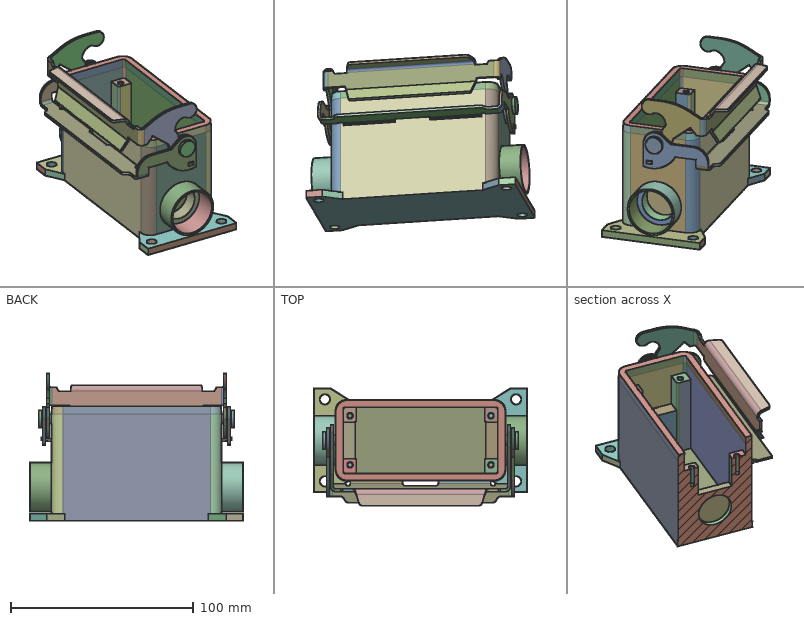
import cadquery as cq
import math

BASE_LENGTH = 117.0
BASE_WIDTH = 57.0
BASE_HEIGHT = 4.0
OVERALL_WIDTH = 64.48
OVERALL_HEIGHT = 81.0
FOOT_TIP_X = 49.4
FOOT_ROOT_X = 39.3
MOUNT_X = 52.5
MOUNT_Y = 22.5
MOUNT_DIAMETER = 5.5

BODY_LENGTH = 93.5
BODY_WIDTH = 44.5
BODY_TOP = 63.0
BODY_CORNER = 6.2
RIM_INSET = 0.3
OUTER_RIM_HEIGHT = 4.1
INNER_RIM_HEIGHT = 5.0

CAVITY_LENGTH = 84.8
CAVITY_WIDTH = 36.2
CAVITY_CORNER = 1.5
FLOOR = BASE_HEIGHT

POST_LENGTH = 7.2
POST_WIDTH = 8.1
POST_TOP = 51.0
POST_CORNER = 1.2
SCREW_X = 38.7
SCREW_Y = 13.5
SCREW_DIAMETER = 2.7
SCREW_DEPTH = 12.0
SCREW_CHAMFER = 0.3
PORT_BLOCK_LENGTH = 6.6
PORT_BLOCK_TOP = 32.0

PORT_Z = 18.5
PORT_OUTER = 27.2
PORT_BORE = 25.1
PORT_BORE_DEPTH = 13.2
PORT_INNER_BORE = 19.3
PORT_WEB = 1.5

PIVOT_Z = 56.0
PIN_DIAMETER = 5.4
PIN_HEAD_DIAMETER = 9.6
PIN_HEAD_THICKNESS = 1.8
PIN_END = 53.7

SHEET = 1.5

LEVER_HALF = 49.4
LEVER_FRONT = -28.2
LEVER_BEND = 2.9
BAR_TOP = 73.0
BAR_BOTTOM = 63.5
BAR_STEP_TOP = 71.2
BAR_STEP_X = 42.6
BAR_RAISED_X = 43.7

HOOK_RADIUS = 4.3
HOOK_CENTRE_Y = 4.2
BACK_CURVE_MIDDLE = (-12.3, 79.85)
BACK_CURVE_END = (-18.5, 77.5)
BACK_CORNER = (-25.4, 73.8)
NOTCH_FRONT_Y = -23.4
NOTCH_PEAK = (-19.9, 67.6)
NOTCH_REAR = (-9.6, 59.4)
LOBE_FRONT = (-9.0, 57.3)
LOBE_FRONT_MIDDLE = (-6.6, 49.0)
LOBE_BOTTOM = (0.0, 45.9)
LOBE_REAR_MIDDLE = (4.5, 47.8)
LOBE_REAR_Y = 6.3
LOBE_REAR_Z = 52.2
LOBE_TOP_MIDDLE = (2.8, 61.65)
NECK_Y = -3.3
NECK_BOTTOM_Z = 61.4
NECK_TOP_Z = 64.2
MOUTH_CORNER = (-5.5, 67.4)
MOUTH_MIDDLE = (-3.6, 72.0)
MOUTH_TOP = (-0.2, 73.7)

HANDLE_EDGE = BASE_WIDTH / 2 - OVERALL_WIDTH
HANDLE_TOP = 74.6
HANDLE_BEND = 1.5
HANDLE_ROOT_X = 36.2
HANDLE_TIP_X = 33.4
HANDLE_CORNER = 2.0

FLAP_BEND_Z = 61.5
FLAP_ANGLE = math.radians(26.5)
FLAP_LENGTH = 7.6
FLAP_ROOT_X = 36.9
FLAP_TIP_X = 34.0
FLAP_CORNER = 1.2

BRACKET_HALF = 51.5
BRACKET_BOTTOM = 43.7
BRACKET_BEND = 3.0
ARM_BACK = 6.8
ARM_TOP = 57.15
ARM_UNDERSIDE = 50.0
ARM_INNER_Y = -23.75
ARM_OUTER_Y = -30.85
ARM_ROUND = 8.85
ARM_BACK_BOTTOM = 42.1
ARM_BELLY_MIDDLE = (-4.5, 43.0)
ARM_BELLY_FRONT_Y = -11.7
ARM_SHOULDER_Y = -9.2
PLATE_EDGE_Y = -34.3
PLATE_EDGE_X = 39.5
PLATE_SHOULDER_X = 44.2
PLATE_TOP = BRACKET_BOTTOM + SHEET
LIP_INNER_X = 9.8
LIP_OUTER_X = 38.6
LIP_BOTTOM = 42.8
SLOT_DEPTH = 1.1
SLOT_CHAMFER = 0.9
LIP_ROUND = 1.4
RELIEF_RADIUS = 1.2

TAB_Y = 3.2
TAB_Z = 45.1
TAB_WIDTH = 3.2
TAB_HEIGHT = 1.6
TAB_REACH = 0.9

SIDES = (-1, 1)
FULL_SPAN = 2 * BRACKET_HALF


def box_between(x0, x1, y0, y1, z0, z1):
    """Box given by its limits along the three axes."""
    return cq.Workplane("XY").box(x1 - x0, y1 - y0, z1 - z0, False).translate((x0, y0, z0))


def x_cylinder(diameter, x0, x1, z):
    """Cylinder along X on the Y = 0 plane."""
    return cq.Workplane("YZ", origin=(x0, 0, z)).circle(diameter / 2).extrude(x1 - x0)


def rounded_block(length, width, corner, z0, z1, taper=0):
    """Upright block with rounded corners and optional draft."""
    sketch = cq.Sketch().rect(length, width).vertices().fillet(corner)
    return cq.Workplane("XY", origin=(0, 0, z0)).placeSketch(sketch).extrude(z1 - z0, taper=taper)


def drafted_block(length, width, corner, z0, rim_height):
    """Straight block up to the rim band, leaning inward within the band."""
    draft = math.degrees(math.atan(RIM_INSET / rim_height))
    rim_start = BODY_TOP - rim_height
    lower = rounded_block(length, width, corner, z0, rim_start)
    return lower.union(rounded_block(length, width, corner, rim_start, BODY_TOP, draft))


def mounting_feet():
    half_length = BASE_LENGTH / 2
    half_width = BASE_WIDTH / 2
    feet = cq.Workplane("XY")
    for side in SIDES:
        outline = [
            (side * half_length, -half_width),
            (side * FOOT_TIP_X, -half_width),
            (side * FOOT_ROOT_X, -BODY_WIDTH / 2),
            (side * FOOT_ROOT_X, BODY_WIDTH / 2),
            (side * FOOT_TIP_X, half_width),
            (side * half_length, half_width),
        ]
        feet = feet.union(cq.Workplane("XY").polyline(outline).close().extrude(BASE_HEIGHT))
    holes = (
        cq.Workplane("XY")
        .rect(2 * MOUNT_X, 2 * MOUNT_Y, forConstruction=True)
        .vertices()
        .circle(MOUNT_DIAMETER / 2)
        .extrude(BASE_HEIGHT)
    )
    return feet.cut(holes)


def cavity():
    """Inside space, leaving the corner posts and the port blocks standing."""
    end = CAVITY_LENGTH / 2
    wall = CAVITY_WIDTH / 2
    length = CAVITY_LENGTH + 2 * RIM_INSET
    width = CAVITY_WIDTH + 2 * RIM_INSET
    space = drafted_block(length, width, CAVITY_CORNER, FLOOR, INNER_RIM_HEIGHT)
    for side_x in SIDES:
        block = box_between(
            end - PORT_BLOCK_LENGTH, BODY_LENGTH / 2, -wall, wall, FLOOR, PORT_BLOCK_TOP
        )
        if side_x < 0:
            block = block.mirror("YZ")
        space = space.cut(block)
        for side_y in SIDES:
            post_length = POST_LENGTH + BODY_LENGTH / 2 - end
            post_width = POST_WIDTH + BODY_WIDTH / 2 - wall
            centre_x = side_x * (BODY_LENGTH / 2 - post_length / 2)
            centre_y = side_y * (BODY_WIDTH / 2 - post_width / 2)
            post = rounded_block(post_length, post_width, POST_CORNER, FLOOR, POST_TOP)
            space = space.cut(post.translate((centre_x, centre_y, 0)))
    return space


def screw_holes():
    radius = SCREW_DIAMETER / 2
    profile = [
        (0, POST_TOP - SCREW_DEPTH),
        (radius, POST_TOP - SCREW_DEPTH),
        (radius, POST_TOP - SCREW_CHAMFER),
        (radius + SCREW_CHAMFER, POST_TOP),
        (0, POST_TOP),
    ]
    hole = cq.Workplane("XZ").polyline(profile).close().revolve(360, (0, 0), (0, 1))
    holes = cq.Workplane("XY")
    for side_x in SIDES:
        for side_y in SIDES:
            holes = holes.union(hole.translate((side_x * SCREW_X, side_y * SCREW_Y, 0)))
    return holes


def port_bore():
    """Stepped blind bore of the +X cable port."""
    mouth = BASE_LENGTH / 2
    shoulder = mouth - PORT_BORE_DEPTH
    bottom = CAVITY_LENGTH / 2 - PORT_BLOCK_LENGTH + PORT_WEB
    return x_cylinder(PORT_BORE, shoulder, mouth, PORT_Z).union(
        x_cylinder(PORT_INNER_BORE, bottom, shoulder, PORT_Z)
    )


def housing():
    body = drafted_block(BODY_LENGTH, BODY_WIDTH, BODY_CORNER, 0, OUTER_RIM_HEIGHT)
    body = body.union(mounting_feet()).cut(cavity()).cut(screw_holes())
    pipe = x_cylinder(PORT_OUTER, CAVITY_LENGTH / 2, BASE_LENGTH / 2, PORT_Z)
    bore = port_bore()
    for pipe_side, bore_side in ((pipe, bore), (pipe.mirror("YZ"), bore.mirror("YZ"))):
        body = body.union(pipe_side).cut(bore_side)
    return body


def pivot_pin():
    """Headed pin of the +X side."""
    shaft = x_cylinder(PIN_DIAMETER, BODY_LENGTH / 2 - SHEET, PIN_END, PIVOT_Z)
    return shaft.union(x_cylinder(PIN_HEAD_DIAMETER, PIN_END - PIN_HEAD_THICKNESS, PIN_END, PIVOT_Z))


def lever_profile():
    """Side outline of the lever arm and crossbar, extruded across the whole width."""
    hook_middle = OVERALL_HEIGHT - HOOK_RADIUS
    hook_bottom = hook_middle - HOOK_RADIUS
    return (
        cq.Workplane("YZ", origin=(-BRACKET_HALF, 0, 0))
        .moveTo(HOOK_CENTRE_Y, OVERALL_HEIGHT)
        .lineTo(-HOOK_CENTRE_Y, OVERALL_HEIGHT)
        .threePointArc(BACK_CURVE_MIDDLE, BACK_CURVE_END)
        .lineTo(*BACK_CORNER)
        .lineTo(LEVER_FRONT, BAR_TOP)
        .lineTo(LEVER_FRONT, BAR_BOTTOM)
        .lineTo(NOTCH_FRONT_Y, BAR_BOTTOM)
        .lineTo(*NOTCH_PEAK)
        .lineTo(*NOTCH_REAR)
        .lineTo(*LOBE_FRONT)
        .threePointArc(LOBE_FRONT_MIDDLE, LOBE_BOTTOM)
        .threePointArc(LOBE_REAR_MIDDLE, (LOBE_REAR_Y, LOBE_REAR_Z))
        .lineTo(LOBE_REAR_Y, PIVOT_Z)
        .threePointArc(LOBE_TOP_MIDDLE, (NECK_Y, NECK_BOTTOM_Z))
        .lineTo(NECK_Y, NECK_TOP_Z)
        .lineTo(*MOUTH_CORNER)
        .threePointArc(MOUTH_MIDDLE, MOUTH_TOP)
        .spline([(HOOK_CENTRE_Y, hook_bottom)], tangents=[(1, 0), (1, 0)], includeCurrent=True)
        .threePointArc((HOOK_CENTRE_Y + HOOK_RADIUS, hook_middle), (HOOK_CENTRE_Y, OVERALL_HEIGHT))
        .close()
        .extrude(FULL_SPAN)
    )


def lever_channel():
    """Upright U of sheet: two arms joined by the crossbar, open to the rear."""
    rear = BASE_WIDTH / 2
    outer = box_between(-LEVER_HALF, LEVER_HALF, LEVER_FRONT, rear, 0, OVERALL_HEIGHT)
    outer = outer.edges("|Z and <Y").fillet(LEVER_BEND)
    inner_half = LEVER_HALF - SHEET
    inner = box_between(-inner_half, inner_half, LEVER_FRONT + SHEET, rear, 0, OVERALL_HEIGHT)
    inner = inner.edges("|Z and <Y").fillet(LEVER_BEND - SHEET)
    return outer.cut(inner)


def handle_flange():
    """Flange bent forward from the top of the crossbar."""
    back = LEVER_FRONT + SHEET
    under = HANDLE_TOP - SHEET
    outer_bend = HANDLE_BEND + SHEET
    bend_y = LEVER_FRONT - HANDLE_BEND
    bend_z = under - HANDLE_BEND
    diagonal = math.sqrt(0.5)
    strip = (
        cq.Workplane("YZ", origin=(-HANDLE_ROOT_X, 0, 0))
        .moveTo(back, BAR_BOTTOM)
        .lineTo(back, bend_z)
        .threePointArc(
            (bend_y + outer_bend * diagonal, bend_z + outer_bend * diagonal), (bend_y, HANDLE_TOP)
        )
        .lineTo(HANDLE_EDGE, HANDLE_TOP)
        .lineTo(HANDLE_EDGE, under)
        .lineTo(bend_y, under)
        .threePointArc(
            (bend_y + HANDLE_BEND * diagonal, bend_z + HANDLE_BEND * diagonal), (LEVER_FRONT, bend_z)
        )
        .lineTo(LEVER_FRONT, BAR_BOTTOM)
        .close()
        .extrude(2 * HANDLE_ROOT_X)
    )
    plan = [
        (-HANDLE_ROOT_X, back),
        (HANDLE_ROOT_X, back),
        (HANDLE_TIP_X, HANDLE_EDGE),
        (-HANDLE_TIP_X, HANDLE_EDGE),
    ]
    outline = cq.Workplane("XY").polyline(plan).close().extrude(HANDLE_TOP)
    return strip.intersect(outline.edges("|Z and <Y").fillet(HANDLE_CORNER))


def sloped_flap():
    """Flap hanging from the crossbar and leaning forward below its bend."""
    back = LEVER_FRONT + SHEET
    reach_y = FLAP_LENGTH * math.sin(FLAP_ANGLE)
    reach_z = FLAP_LENGTH * math.cos(FLAP_ANGLE)
    tip_y = LEVER_FRONT - reach_y
    tip_z = FLAP_BEND_Z - reach_z
    inner_tip_y = tip_y + SHEET * math.cos(FLAP_ANGLE)
    inner_tip_z = tip_z - SHEET * math.sin(FLAP_ANGLE)
    inner_bend_z = FLAP_BEND_Z - SHEET * math.tan(FLAP_ANGLE / 2)
    section = [
        (back, BAR_STEP_TOP),
        (LEVER_FRONT, BAR_STEP_TOP),
        (LEVER_FRONT, FLAP_BEND_Z),
        (tip_y, tip_z),
        (inner_tip_y, inner_tip_z),
        (back, inner_bend_z),
    ]
    strip = (
        cq.Workplane("YZ", origin=(-FLAP_ROOT_X, 0, 0)).polyline(section).close().extrude(2 * FLAP_ROOT_X)
    )
    front = [
        (-FLAP_ROOT_X, BAR_STEP_TOP),
        (-FLAP_ROOT_X, BAR_BOTTOM),
        (-FLAP_TIP_X, inner_tip_z),
        (FLAP_TIP_X, inner_tip_z),
        (FLAP_ROOT_X, BAR_BOTTOM),
        (FLAP_ROOT_X, BAR_STEP_TOP),
    ]
    outline = cq.Workplane("XZ").polyline(front).close().extrude(BODY_WIDTH)
    return strip.intersect(outline.edges("|Y and <Z").fillet(FLAP_CORNER))


def lever():
    bar_step = [
        (-BAR_RAISED_X, BAR_TOP),
        (-BAR_STEP_X, BAR_STEP_TOP),
        (BAR_STEP_X, BAR_STEP_TOP),
        (BAR_RAISED_X, BAR_TOP),
        (BAR_RAISED_X, HANDLE_TOP),
        (-BAR_RAISED_X, HANDLE_TOP),
    ]
    notch = cq.Workplane("XZ").polyline(bar_step).close().extrude(BODY_WIDTH)
    sheet = lever_channel().intersect(lever_profile()).cut(notch)
    return sheet.union(handle_flange()).union(sloped_flap())


def bracket_profile():
    """Side outline of the bracket arm, extruded across the whole width."""
    diagonal = math.sqrt(0.5)
    crown = math.radians(22.5)
    round_y = ARM_OUTER_Y + ARM_ROUND
    round_z = ARM_TOP - ARM_ROUND
    return (
        cq.Workplane("YZ", origin=(-BRACKET_HALF, 0, 0))
        .moveTo(ARM_BACK, ARM_BACK_BOTTOM)
        .lineTo(ARM_BACK, PIVOT_Z)
        .threePointArc(
            (ARM_BACK * math.sin(crown), PIVOT_Z + ARM_BACK * math.cos(crown)),
            (-ARM_BACK * diagonal, PIVOT_Z + ARM_BACK * diagonal),
        )
        .lineTo(ARM_SHOULDER_Y, ARM_TOP)
        .lineTo(round_y, ARM_TOP)
        .threePointArc(
            (round_y - ARM_ROUND * diagonal, round_z + ARM_ROUND * diagonal), (ARM_OUTER_Y, round_z)
        )
        .lineTo(ARM_OUTER_Y, BRACKET_BOTTOM)
        .lineTo(ARM_INNER_Y, BRACKET_BOTTOM)
        .lineTo(ARM_INNER_Y, ARM_UNDERSIDE)
        .lineTo(ARM_BELLY_FRONT_Y, ARM_UNDERSIDE)
        .threePointArc(ARM_BELLY_MIDDLE, (ARM_BACK, ARM_BACK_BOTTOM))
        .close()
        .extrude(FULL_SPAN)
    )


def bracket_channel():
    """U of sheet lying along Y: two arms rising from the bottom plate.

    Behind the plate the arms run straight down below its level.
    """
    rear = BASE_WIDTH / 2
    inner_half = BRACKET_HALF - SHEET
    outer = box_between(-BRACKET_HALF, BRACKET_HALF, PLATE_EDGE_Y, ARM_INNER_Y, BRACKET_BOTTOM, BODY_TOP)
    outer = outer.edges("|Y and <Z").fillet(BRACKET_BEND)
    inner = box_between(-inner_half, inner_half, PLATE_EDGE_Y, ARM_INNER_Y, PLATE_TOP, BODY_TOP)
    inner = inner.edges("|Y and <Z").fillet(BRACKET_BEND - SHEET)
    channel = outer.cut(inner)
    for x0 in (-BRACKET_HALF, inner_half):
        channel = channel.union(box_between(x0, x0 + SHEET, ARM_INNER_Y, rear, 0, BODY_TOP))
    return channel


def bracket_apron():
    """Front of the bottom plate, widened forward between two S-shaped shoulders."""
    along_x = PLATE_SHOULDER_X - PLATE_EDGE_X
    tangents = [(along_x, 0), (along_x, 0)]
    return (
        cq.Workplane("XY", origin=(0, 0, BRACKET_BOTTOM))
        .moveTo(-PLATE_SHOULDER_X, ARM_INNER_Y)
        .lineTo(-PLATE_SHOULDER_X, ARM_OUTER_Y)
        .spline([(-PLATE_EDGE_X, PLATE_EDGE_Y)], tangents=tangents, includeCurrent=True)
        .lineTo(PLATE_EDGE_X, PLATE_EDGE_Y)
        .spline([(PLATE_SHOULDER_X, ARM_OUTER_Y)], tangents=tangents, includeCurrent=True)
        .lineTo(PLATE_SHOULDER_X, ARM_INNER_Y)
        .close()
        .extrude(SHEET)
    )


def bracket_lip():
    """Lip of the +X half, curled down against the housing wall."""
    lip = box_between(LIP_INNER_X, LIP_OUTER_X, ARM_INNER_Y, -BODY_WIDTH / 2, LIP_BOTTOM, PLATE_TOP)
    return lip.edges("|X and >Y and >Z").fillet(LIP_ROUND)


def bracket():
    sheet = bracket_channel().intersect(bracket_profile()).union(bracket_apron())
    slot = box_between(
        -LIP_INNER_X, LIP_INNER_X, ARM_INNER_Y - SLOT_DEPTH, ARM_INNER_Y, BRACKET_BOTTOM, PLATE_TOP
    )
    sheet = sheet.cut(slot.edges("|Z and <Y").chamfer(SLOT_CHAMFER))
    relief = (
        cq.Workplane("XY", origin=(LIP_OUTER_X + RELIEF_RADIUS, ARM_INNER_Y, BRACKET_BOTTOM))
        .circle(RELIEF_RADIUS)
        .extrude(SHEET)
    )
    tab = cq.Workplane("XY").box(SHEET + TAB_REACH, TAB_WIDTH, TAB_HEIGHT)
    tab = tab.translate((BRACKET_HALF + (TAB_REACH - SHEET) / 2, TAB_Y, TAB_Z))
    lip = bracket_lip()
    sheet = sheet.cut(relief).cut(relief.mirror("YZ"))
    for extra in (lip, tab):
        sheet = sheet.union(extra).union(extra.mirror("YZ"))
    return sheet


pin = pivot_pin()
result = housing().union(pin).union(pin.mirror("YZ")).union(lever()).union(bracket())